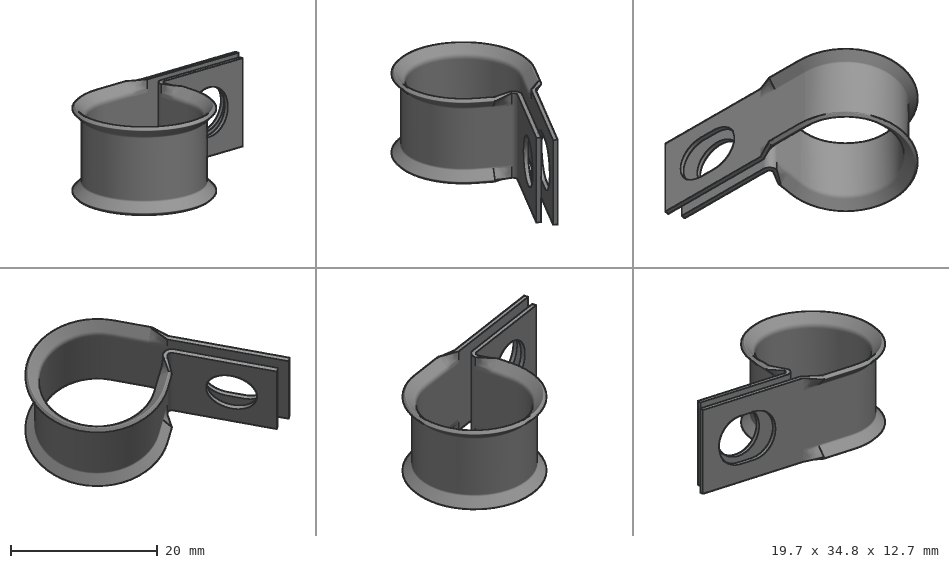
import cadquery as cq
import math


thickness = 0.645
width = 12.7
inner_diameter = 15.875
inner_radius = inner_diameter / 2
outer_radius = inner_radius + thickness
flange_radius = 9.855
wrap_angle = 270

flare_angle = 45
bend_inside_radius = thickness / 2
bend_outside_radius = bend_inside_radius + thickness

long_side_flange = 5.37
short_side_flange = 2.6
runout_length = 2.58

overall_length = 34.82
short_tab_setback = 1.17
long_tab_end = overall_length - flange_radius
short_tab_end = long_tab_end - short_tab_setback
tab_bend_radius = 2 * thickness
hole_setback = 7.52
hole_center = long_tab_end - hole_setback
hole_diameter = 7.14
slot_width = 7.3
slot_length = 9.58

lip_round = 0.08
flat_corner_step = 0.02

half_width = width / 2
flare_angle_rad = math.radians(flare_angle)
sin_flare = math.sin(flare_angle_rad)
cos_flare = math.cos(flare_angle_rad)
bend_center_radius = outer_radius + bend_inside_radius
lip_center_radius = flange_radius - lip_round
lip_inner_center_radius = lip_center_radius - (thickness - 2 * lip_round) * sin_flare
lip_inner_center_z = half_width - lip_round
lip_center_z = lip_inner_center_z - (thickness - 2 * lip_round) * cos_flare
flare_start_radius = bend_center_radius - bend_inside_radius * cos_flare
flare_end_radius = lip_center_radius + lip_round * sin_flare
flare_length = (flare_end_radius - flare_start_radius) / sin_flare
bend_start_z = (
    lip_center_z - lip_round * cos_flare - flare_length * cos_flare - bend_inside_radius * sin_flare
)


def box_between(x_min, x_max, y_min, y_max, half_height):
    """Block centred on Z = 0."""
    return (
        cq.Workplane("XY", origin=(0, 0, -half_height))
        .moveTo(x_min, y_min)
        .lineTo(x_max, y_min)
        .lineTo(x_max, y_max)
        .lineTo(x_min, y_max)
        .close()
        .extrude(2 * half_height)
    )


def arc_point(center_radius, center_z, radius, angle):
    """(X, Z) on an arc of the -X side section; the angle runs from +X towards +Z."""
    turn = math.radians(angle)
    return (-center_radius + radius * math.cos(turn), center_z + radius * math.sin(turn))


def bend_point(radius, angle):
    return arc_point(bend_center_radius, bend_start_z, radius, angle)


def outer_lip_point(angle):
    return arc_point(lip_center_radius, lip_center_z, lip_round, angle)


def inner_lip_point(angle):
    return arc_point(lip_inner_center_radius, lip_inner_center_z, lip_round, angle)


def flange_section(y):
    """Upper flange in the plane at the given Y: a bend, a straight flare and a rounded lip."""
    inner_lip_start = flare_angle
    outer_lip_start = flare_angle + 90
    lip_end = flare_angle + 180
    return (
        cq.Workplane("XZ", origin=(0, y, 0))
        .moveTo(*bend_point(bend_outside_radius, 0))
        .threePointArc(
            bend_point(bend_outside_radius, flare_angle / 2),
            bend_point(bend_outside_radius, flare_angle),
        )
        .lineTo(*inner_lip_point(inner_lip_start))
        .threePointArc(
            inner_lip_point((inner_lip_start + outer_lip_start) / 2),
            inner_lip_point(outer_lip_start),
        )
        .lineTo(*outer_lip_point(outer_lip_start))
        .threePointArc(
            outer_lip_point((outer_lip_start + lip_end) / 2),
            outer_lip_point(lip_end),
        )
        .lineTo(*bend_point(bend_inside_radius, flare_angle))
        .threePointArc(
            bend_point(bend_inside_radius, flare_angle / 2),
            bend_point(bend_inside_radius, 0),
        )
        .close()
    )


def flattened_bend_z(bend_radius):
    """Height that the bend takes up on the flat strip, in proportion to its developed length."""
    bend_length = bend_radius * flare_angle_rad
    strip_height = half_width - bend_start_z
    return bend_start_z + strip_height * bend_length / (bend_length + flare_length)


def flat_section(y):
    """Upright strip with one corner for each corner of the flange section."""
    return (
        cq.Workplane("XZ", origin=(0, y, 0))
        .moveTo(-inner_radius, bend_start_z)
        .lineTo(-inner_radius, flattened_bend_z(bend_outside_radius))
        .lineTo(-inner_radius, half_width)
        .lineTo(-inner_radius - flat_corner_step, half_width)
        .lineTo(-outer_radius + flat_corner_step, half_width)
        .lineTo(-outer_radius, half_width)
        .lineTo(-outer_radius, flattened_bend_z(bend_inside_radius))
        .lineTo(-outer_radius, bend_start_z)
        .close()
    )


def with_lower_flange(wall, upper_flange):
    return wall.union(upper_flange).union(upper_flange.mirror("XY"))


def make_band():
    wall = (
        cq.Workplane("XZ")
        .moveTo(-outer_radius, -bend_start_z)
        .lineTo(-inner_radius, -bend_start_z)
        .lineTo(-inner_radius, bend_start_z)
        .lineTo(-outer_radius, bend_start_z)
        .close()
        .revolve(wrap_angle, (0, 0), (0, 1))
    )
    flange = flange_section(0).revolve(wrap_angle, (0, 0), (0, 1))
    return with_lower_flange(wall, flange)


def make_straight_run(flange_length):
    """Flanged run along +Y from the band end; its flanges flatten out into the sheet."""
    run_end = flange_length + runout_length
    wall = box_between(-outer_radius, -inner_radius, 0, run_end, bend_start_z)
    flange = flange_section(0).extrude(-flange_length)
    runout = cq.Solid.makeLoft(
        [flange_section(flange_length).val(), flat_section(run_end).val()], True
    )
    return with_lower_flange(wall, flange.union(cq.Workplane(runout)))


def make_long_tab():
    tab_start = long_side_flange + runout_length
    tab = box_between(-outer_radius, -inner_radius, tab_start, long_tab_end, half_width)
    slot = (
        cq.Workplane("YZ", origin=(-outer_radius, hole_center, 0))
        .slot2D(slot_length, slot_width)
        .extrude(thickness)
    )
    return tab.cut(slot)


def make_short_tab():
    """Tab turned up from the short run by a quarter bend, parallel to the long tab."""
    bend_x = -(short_side_flange + runout_length)
    bend_y = inner_radius + tab_bend_radius
    tab_outer_x = bend_x - tab_bend_radius
    tab_inner_x = tab_outer_x + thickness
    bend = (
        cq.Workplane("XY", origin=(bend_x, bend_y, 0))
        .circle(tab_bend_radius)
        .circle(tab_bend_radius - thickness)
        .extrude(half_width, both=True)
        .intersect(box_between(tab_outer_x, bend_x, inner_radius, bend_y, half_width))
    )
    tab = box_between(tab_outer_x, tab_inner_x, bend_y, short_tab_end, half_width)
    hole = (
        cq.Workplane("YZ", origin=(tab_outer_x, hole_center, 0))
        .circle(hole_diameter / 2)
        .extrude(thickness)
    )
    return bend.union(tab.cut(hole))


long_run = make_straight_run(long_side_flange)
short_run = make_straight_run(short_side_flange).rotate((0, 0, 0), (0, 0, 1), -90).mirror("YZ")

result = make_band().union(long_run).union(short_run).union(make_long_tab()).union(make_short_tab())